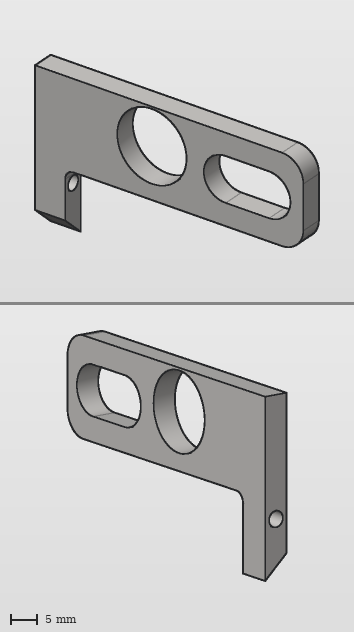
import cadquery as cq

length = 62.0
thickness = 5.0
total_height = 35.58
arm_height = 20.0
leg_width = 7.0
outer_corner_radius = 5.0
inner_corner_radius = 2.0

bevel_rise = 4.66

bore_diameter = 16.0
bore_x = 27.0
bore_depth_below_top = 8.5

slot_length = 20.0
slot_width = 10.0
slot_end_margin = 3.0
slot_x = length - slot_end_margin - slot_length / 2

cross_hole_diameter = 3.2
cross_hole_depth_below_top = 24.0


def extrude_back(sketch):
    """Extrude an XZ sketch from the front face (Y = 0) to the back face."""
    return sketch.extrude(-thickness)


def make_plate():
    """L-shaped plate with rounded arm end and filleted inner corner."""
    outline = (
        cq.Workplane("XZ")
        .moveTo(0, 0)
        .lineTo(length, 0)
        .lineTo(length, -arm_height)
        .lineTo(leg_width, -arm_height)
        .lineTo(leg_width, -total_height)
        .lineTo(0, -total_height)
        .close()
    )
    plate = extrude_back(outline)
    plate = plate.edges("|Y and >X").fillet(outer_corner_radius)
    inner_corner = cq.selectors.NearestToPointSelector((leg_width, thickness / 2, -arm_height))
    return plate.edges(inner_corner).fillet(inner_corner_radius)


def make_bore():
    circle = cq.Workplane("XZ").center(bore_x, -bore_depth_below_top).circle(bore_diameter / 2)
    return extrude_back(circle)


def make_slot():
    slot = cq.Workplane("XZ").center(slot_x, -arm_height / 2).slot2D(slot_length, slot_width)
    return extrude_back(slot)


def make_cross_hole():
    return (
        cq.Workplane("YZ")
        .center(thickness / 2, -cross_hole_depth_below_top)
        .circle(cross_hole_diameter / 2)
        .extrude(leg_width)
    )


def make_tip_bevel():
    """Triangular wedge removed from the front of the leg tip."""
    return (
        cq.Workplane("YZ")
        .moveTo(0, -total_height)
        .lineTo(thickness, -total_height)
        .lineTo(0, -total_height + bevel_rise)
        .close()
        .extrude(leg_width)
    )


result = make_plate()
for cutter in (make_bore(), make_slot(), make_cross_hole(), make_tip_bevel()):
    result = result.cut(cutter)